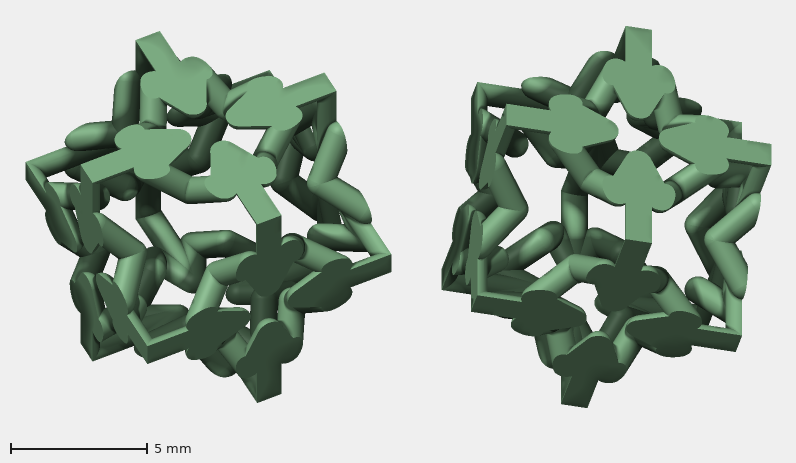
import cadquery as cq
cell = 10.0
strut_diameter = 1.0

half = cell / 2
strut_radius = strut_diameter / 2

shoulder_side = 0.79
shoulder_reach = 2.9
tip_reach = 1.26
bend_offset = 1.52
bend_level = 3.83


def strut(start, end):
    """Round bar between two nodes."""
    start = cq.Vector(*start)
    axis = cq.Vector(*end) - start
    return cq.Solid.makeCylinder(strut_radius, axis.Length, start, axis)


def joint(node):
    """Ball that rounds off the struts meeting at a node."""
    return cq.Workplane("XY").sphere(strut_radius).translate(node).val()


def branch_sector():
    """Space with |Y| <= X <= Z below the top side; its sloping walls mitre the branch."""
    prism = cq.Workplane("XY").polyline([(0, 0), (half, -half), (half, half)]).close().extrude(half)
    upper = cq.Workplane("XZ").polyline([(0, 0), (half, half), (0, half)]).close().extrude(half, both=True)
    return prism.intersect(upper).val()


def branch():
    """Struts around the +X centre line of the top side."""
    tip = (tip_reach, 0, half)
    edge_middle = (half, 0, half)
    shoulder = (shoulder_reach, shoulder_side, half)
    bend = (bend_offset, bend_offset, bend_level)
    arm = [strut(tip, shoulder), joint(shoulder), strut(shoulder, bend), joint(bend)]
    mirrored_arm = [piece.mirror("XZ") for piece in arm]
    pieces = arm + mirrored_arm + [joint(tip), strut(tip, edge_middle)]
    return pieces[0].fuse(*pieces[1:]).intersect(branch_sector()).clean()


def turned(shapes, axis, angles):
    """Copies of the shapes turned about an axis through the cell centre."""
    return [shape.rotate((0, 0, 0), axis, angle) for angle in angles for shape in shapes]


top_branches = turned([branch()], (0, 0, 1), (0, 90, 180, 270))
branches = turned(top_branches, (1, 0, 0), (0, 90, 180, 270)) + turned(top_branches, (0, 1, 0), (90, -90))
fused = branches[0].fuse(*branches[1:])
result = cq.Workplane(fused.Solids()[0])